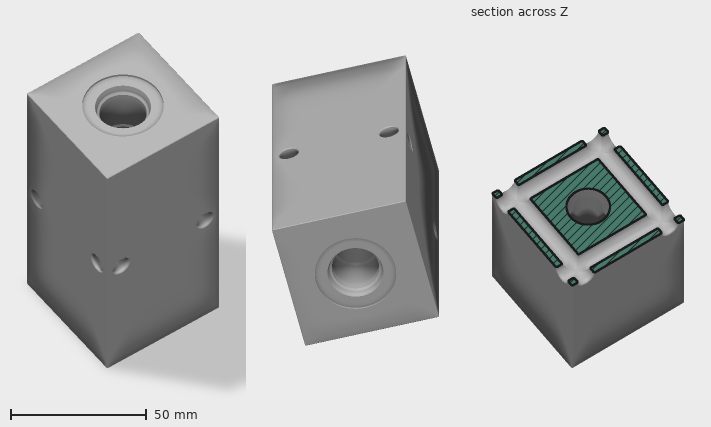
import cadquery as cq
import math

HEIGHT = 108.0
WIDTH = 50.8
EDGE_CHAMFER = 0.2

SPOTFACE_DIAMETER = 30.0
SPOTFACE_DEPTH = 0.9
SEAT_TOP_DIAMETER = 20.6
SEAT_BOTTOM_DIAMETER = 19.2
SEAT_DEPTH = 2.5
THREAD_DIAMETER = 17.5
THREAD_DEPTH = 20.0
BORE_DIAMETER = 15.9
THREAD_END_ANGLE = 59.0

CROSS_HOLE_DIAMETER = 7.2
CROSS_HOLE_OFFSET = 19.0
CROSS_HOLE_MOUTH = 7.9


def make_block():
    """Square column with every edge broken."""
    block = cq.Workplane("XY").box(WIDTH, WIDTH, HEIGHT)
    return block.edges().chamfer(EDGE_CHAMFER)


def make_port():
    """Cutter for the port in the upper end.

    From the top down: spotface, tapered seat, 45 degree lead-in, thread bore and drill-point cone.
    """
    top = HEIGHT / 2
    floor = top - SPOTFACE_DEPTH
    seat_end = floor - SEAT_DEPTH
    lead_in = (SEAT_BOTTOM_DIAMETER - THREAD_DIAMETER) / 2
    thread_end = floor - THREAD_DEPTH
    cone_height = (THREAD_DIAMETER - BORE_DIAMETER) / 2 / math.tan(math.radians(THREAD_END_ANGLE))
    profile = [
        (0, top),
        (SPOTFACE_DIAMETER / 2, top),
        (SPOTFACE_DIAMETER / 2, floor),
        (SEAT_TOP_DIAMETER / 2, floor),
        (SEAT_BOTTOM_DIAMETER / 2, seat_end),
        (THREAD_DIAMETER / 2, seat_end - lead_in),
        (THREAD_DIAMETER / 2, thread_end),
        (BORE_DIAMETER / 2, thread_end - cone_height),
        (0, thread_end - cone_height),
    ]
    return cq.Workplane("XZ").polyline(profile).close().revolve(360, (0, 0, 0), (0, 1, 0))


def make_cross_hole(offset):
    """Cutter for a through hole along Y at the given X, with a 45 degree chamfer at each mouth."""
    half = WIDTH / 2
    mouth = CROSS_HOLE_MOUTH / 2
    radius = CROSS_HOLE_DIAMETER / 2
    chamfer = mouth - radius
    profile = [
        (0, -half),
        (mouth, -half),
        (radius, -half + chamfer),
        (radius, half - chamfer),
        (mouth, half),
        (0, half),
    ]
    hole = cq.Workplane("XY").polyline(profile).close().revolve(360, (0, 0, 0), (0, 1, 0))
    return hole.translate((offset, 0, 0))


result = make_block()

bore = cq.Workplane("XY").circle(BORE_DIAMETER / 2).extrude(HEIGHT / 2, both=True)
result = result.cut(bore)

upper_port = make_port()
result = result.cut(upper_port).cut(upper_port.mirror("XY"))

for offset in (-CROSS_HOLE_OFFSET, CROSS_HOLE_OFFSET):
    along_y = make_cross_hole(offset)
    along_x = along_y.rotate((0, 0, 0), (0, 0, 1), 90)
    result = result.cut(along_y).cut(along_x)